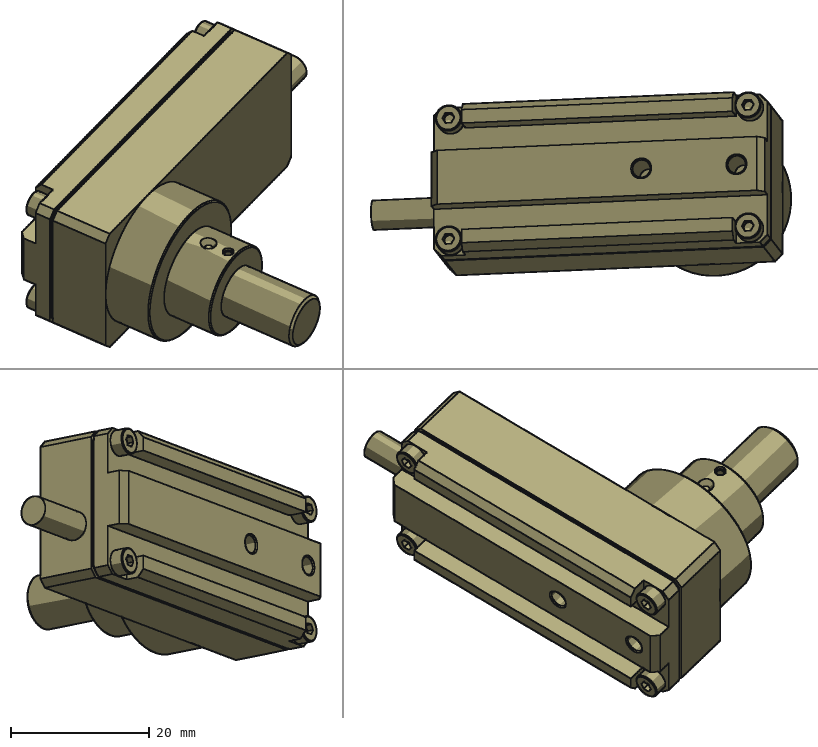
import cadquery as cq
import math


width = 22.0
length = 49.0
shaft_to_end = width / 2
end_near = -shaft_to_end
end_far = end_near + length
mid_y = (end_near + end_far) / 2
corner_chamfer = 1.1

rail_height = 3.0
plate_back = 5.5
seam_gap = 0.5
seam_depth = 0.4
seam_end = plate_back + seam_gap
housing_back = 15.1
flange_length = 7.5
hub_length = 7.9
shaft_length = 12.1
flange_end = housing_back + flange_length
hub_end = flange_end + hub_length

center_rail_width = 8.0
side_rail_width = 3.1
side_rail_inset = 4.6
rail_chamfer = 1.0

flange_diameter = 21.9
hub_diameter = 14.0
shaft_diameter = 8.0
step_chamfer = 0.2
shaft_chamfer = 0.4

screw_inset_y = 2.5
screw_inset_z = 2.0
screw_head_diameter = 3.8
screw_head_height = 2.1
screw_edge_chamfer = 0.15
socket_across_flats = 1.5
socket_depth = 1.0

tapped_hole_pitch = 14.0
tapped_hole_diameter = 2.6
tapped_hole_mouth = 3.0
tapped_hole_depth = 6.0
drill_point_angle = 118.0

dimple_offset = 3.1
dimple_diameter = 2.4
dimple_floor_diameter = 1.1
dimple_depth = 0.9
set_screw_offset = 6.5
set_screw_diameter = 1.6
set_screw_socket = 1.1
set_screw_recess = 0.5
set_screw_depth = 1.5

cable_diameter = 4.3
cable_length = 10.0
cable_x = 9.05
cable_z = -3.0


def block(x_start, x_end, inset=0.0):
    """Slice of the housing with its four long edges chamfered, optionally shrunk all round."""
    slab = cq.Workplane("YZ", origin=(x_start, mid_y, 0)).rect(length - 2 * inset, width - 2 * inset)
    return slab.extrude(x_end - x_start).edges("|X").chamfer(corner_chamfer)


def disc(x_start, diameter, depth, y=0.0, z=0.0):
    """Cylinder along +X starting at x_start."""
    return cq.Workplane("YZ", origin=(x_start, y, z)).circle(diameter / 2).extrude(depth)


def cone_tip(x_start, x_end, start_diameter, y, z):
    """Cone along X from a circle at x_start to a point at x_end."""
    profile = cq.Workplane("XY").polyline([(x_start, 0), (x_start, start_diameter / 2), (x_end, 0)]).close()
    return profile.revolve(360, (0, 0, 0), (1, 0, 0)).translate((0, y, z))


def drill_point_depth(diameter):
    """Length of the cone left by a drill of this diameter."""
    return diameter / 2 / math.tan(math.radians(drill_point_angle / 2))


def make_housing():
    plate = block(rail_height, plate_back)
    seam = block(plate_back, seam_end, seam_depth)
    body = block(seam_end, housing_back)
    return plate.union(seam).union(body)


def make_center_rail():
    bar = cq.Workplane("XY").box(rail_height, length, center_rail_width, centered=(False, True, True))
    return bar.edges("<X and |Z").chamfer(rail_chamfer).translate((0, mid_y, 0))


def make_side_rail(side):
    """Rail along one long edge; side is +1 for the +Z edge and -1 for the -Z edge."""
    outer = width / 2
    inner = outer - side_rail_width
    profile = [
        (rail_height, inner),
        (0, inner),
        (0, outer - corner_chamfer),
        (rail_chamfer, outer),
        (rail_height, outer),
    ]
    section = [(x, side * z) for x, z in profile]
    rail_length = length - 2 * side_rail_inset
    wire = cq.Workplane("XZ", origin=(0, mid_y, 0)).polyline(section).close()
    return wire.extrude(rail_length / 2, both=True)


def make_turned_end():
    flange = disc(housing_back, flange_diameter, flange_length).edges(">X").chamfer(step_chamfer)
    hub = disc(flange_end, hub_diameter, hub_length).edges(">X").chamfer(step_chamfer)
    shaft = disc(hub_end, shaft_diameter, shaft_length).edges(">X").chamfer(shaft_chamfer)
    return flange.union(hub).union(shaft)


def make_cable():
    stub = cq.Workplane("XZ", origin=(cable_x, end_far, cable_z)).circle(cable_diameter / 2)
    return stub.extrude(-cable_length)


def make_screw_head(y, z):
    """Cap screw head with a hexagon socket ending in a conical floor."""
    front = rail_height - screw_head_height
    blank = disc(front, screw_head_diameter, screw_head_height, y, z)
    head = blank.edges("<X").chamfer(screw_edge_chamfer)
    across_corners = socket_across_flats / math.cos(math.pi / 6)
    socket = cq.Workplane("YZ", origin=(front, y, z)).polygon(6, across_corners).extrude(socket_depth)
    socket_floor = front + socket_depth
    tip = socket_floor + drill_point_depth(socket_across_flats)
    socket = socket.union(cone_tip(socket_floor, tip, socket_across_flats, y, z))
    return head.cut(socket)


def make_tapped_hole(y):
    """Blind hole along X with a countersunk mouth and a drill point."""
    tip = tapped_hole_depth + drill_point_depth(tapped_hole_diameter)
    mouth_cone_depth = tapped_hole_mouth / 2
    hole = disc(0, tapped_hole_diameter, tapped_hole_depth, y)
    hole = hole.union(cone_tip(tapped_hole_depth, tip, tapped_hole_diameter, y, 0))
    return hole.union(cone_tip(0, mouth_cone_depth, tapped_hole_mouth, y, 0))


def make_hub_dimple():
    """Tapered dimple with a flat floor, sunk into the hub from +Z."""
    top = hub_diameter / 2
    x = flange_end + dimple_offset
    mouth = cq.Workplane("XY", origin=(x, 0, top)).circle(dimple_diameter / 2)
    floor = mouth.workplane(offset=-dimple_depth).circle(dimple_floor_diameter / 2)
    return floor.loft()


def make_set_screw_hole():
    """Stepped radial hole, sunk into the hub from +Z."""
    top = hub_diameter / 2
    x = flange_end + set_screw_offset
    start = cq.Workplane("XY", origin=(x, 0, top))
    recess = start.circle(set_screw_diameter / 2).extrude(-set_screw_recess)
    return recess.union(start.circle(set_screw_socket / 2).extrude(-set_screw_depth))


result = make_housing().union(make_center_rail()).union(make_turned_end()).union(make_cable())

for side in (-1, 1):
    result = result.union(make_side_rail(side))

for screw_y in (end_near + screw_inset_y, end_far - screw_inset_y):
    for screw_z in (screw_inset_z - width / 2, width / 2 - screw_inset_z):
        result = result.union(make_screw_head(screw_y, screw_z))

for hole_y in (-tapped_hole_pitch / 2, tapped_hole_pitch / 2):
    result = result.cut(make_tapped_hole(hole_y))

result = result.cut(make_hub_dimple()).cut(make_set_screw_hole())